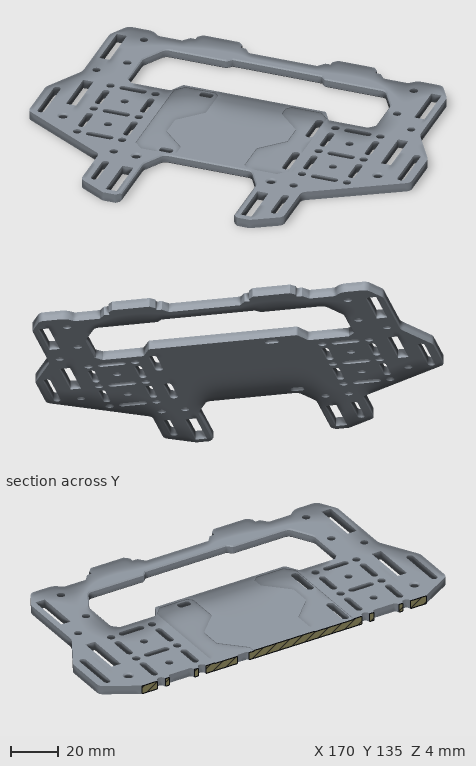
import cadquery as cq
import math

thickness = 4.0
half_width = 85.0
grid = 10.0
slope = math.tan(math.radians(60))

tab_top = 72.0
shoulder_top = 68.0
bar_top = 65.0
tab_inner, tab_outer = 2 * grid, 4 * grid
tab_corner = 2.0
tab_foot = 2.3
foot_run = 2.5
bar_outer = 55.7
arm_outer = 75.0
arm_top = 59.3
arm_bottom = 27.0
side_bottom = -11.1
leg_outer, leg_inner = 45.0, 25.0
leg_corner = -55.9
leg_bottom = -63.0
leg_inner_top = -34.6
leg_corner_cut = 2.0

nick_radius = 1.0
foot_radius = 2.0
corner_radius = 3.0
bend_radius = 4.0
sweep_radius = 5.0
shoulder_radius = 5.5

plate_front, plate_back = 31.0, -25.0
plate_mid = (plate_front + plate_back) / 2
plate_corner = 31.7
window_front = 56.0
window_step_front = 58.0
window_step_inner, window_step_outer = 19.8, 21.8
window_half_width = 55.0
window_side_top = 45.5
window_back = 25.0
window_corner_cut = 2.4
plate_foot = plate_corner + (plate_front - window_back) / slope
edge_chamfer = 0.5

hole_diameter = 3.5
center_hole_diameter = 3.4
countersink_diameter = 4.7
countersink_angle = 90
along_x, along_y = 0, 90
slot_width = 3.0
grid_slot_length = 12.0
side_slot_length = 22.0
side_slot_y = 0.3
leg_slot_length = 16.0
leg_slot_y = -46.5
strap_width, strap_length = 4.5, 20.8
leg_strap_width, leg_strap_length = 4.9, 20.3

board_slot_width = 3.4
left_slot_x, left_slot_pitch = -20.0, 48.0
left_slot_length, left_slot_radius = 5.8, 1.2
right_slot_x, right_slot_pitch = 31.8, 28.0
right_slot_length = 15.0

recess_depth = 0.3
recess_half_length = 26.75
recess_outer, recess_inner = 34.0, 15.0
recess_outer_cut, recess_inner_cut = 3.75, 2.0
notch_depth = 10.0
notch_half_floor = 5.0
notch_offset = 5.0


def mirrored_loop(half):
    """Close a chain of points with X > 0 through its mirror image across X = 0."""
    return half + [(-x, y) for x, y in reversed(half)]


def prism(points, bottom=0.0, height=thickness):
    return cq.Workplane("XY").workplane(offset=bottom).polyline(points).close().extrude(height)


def round_corners(body, corners):
    """Fillet the vertical edges at each (x, y, radius) and at its mirror image."""
    for x, y, radius in corners:
        for side in (1, -1):
            nearest = cq.selectors.NearestToPointSelector((side * x, y, thickness / 2))
            body = body.edges("|Z").edges(nearest).fillet(radius)
    return body


def make_outline():
    side_top = arm_bottom - (half_width - arm_outer) * slope
    arm_corner = arm_outer - (shoulder_top - arm_top) / slope
    elbow = side_bottom - (half_width - leg_outer) / slope
    leg_tip = leg_outer - (leg_corner - leg_bottom) * slope
    back_corner = leg_inner - (plate_back - leg_inner_top) / slope
    rise = shoulder_top - bar_top
    half = [
        (tab_inner - tab_foot - foot_run, bar_top),
        (tab_inner - tab_foot, shoulder_top),
        (tab_inner, shoulder_top),
        (tab_inner, tab_top - tab_corner),
        (tab_inner + tab_corner, tab_top),
        (tab_outer - tab_corner, tab_top),
        (tab_outer, tab_top - tab_corner),
        (tab_outer, shoulder_top),
        (tab_outer + tab_foot, shoulder_top),
        (tab_outer + tab_foot + foot_run, bar_top),
        (bar_outer, bar_top),
        (bar_outer + rise, shoulder_top),
        (arm_corner, shoulder_top),
        (arm_outer, arm_top),
        (arm_outer, arm_bottom),
        (half_width, side_top),
        (half_width, side_bottom),
        (leg_outer, elbow),
        (leg_outer, leg_corner),
        (leg_tip, leg_bottom),
        (leg_inner + leg_corner_cut, leg_bottom),
        (leg_inner, leg_bottom + leg_corner_cut),
        (leg_inner, leg_inner_top),
        (back_corner, plate_back),
    ]
    body = prism(mirrored_loop(half))
    return round_corners(body, [
        (bar_outer, bar_top, foot_radius),
        (bar_outer + rise, shoulder_top, shoulder_radius),
        (arm_corner, shoulder_top, corner_radius),
        (arm_outer, arm_top, bend_radius),
        (arm_outer, arm_bottom, sweep_radius),
        (half_width, side_top, bend_radius),
        (half_width, side_bottom, corner_radius),
        (leg_outer, elbow, corner_radius),
        (leg_outer, leg_corner, corner_radius),
        (leg_tip, leg_bottom, nick_radius),
        (leg_inner, leg_inner_top, sweep_radius),
        (back_corner, plate_back, corner_radius),
    ])


def make_window():
    top_corner = window_half_width - (window_front - window_side_top) / slope
    half = [
        (window_step_inner, window_step_front),
        (window_step_outer, window_front),
        (top_corner, window_front),
        (window_half_width, window_side_top),
        (window_half_width, window_back + window_corner_cut),
        (window_half_width - window_corner_cut, window_back),
        (plate_foot, window_back),
        (plate_corner, plate_front),
    ]
    window = prism(mirrored_loop(half))
    return round_corners(window, [
        (top_corner, window_front, corner_radius),
        (window_half_width, window_side_top, bend_radius),
        (plate_foot, window_back, nick_radius),
        (plate_corner, plate_front, nick_radius),
    ])


def box_selector(half_span, back, front):
    """Select what is centred within a box, symmetric in X, that spans the full thickness."""
    margin = 0.01
    return cq.selectors.BoxSelector(
        (-half_span - margin, back, -margin),
        (half_span + margin, front + margin, thickness + margin),
    )


def chamfer_inner_edges(body):
    """Chamfer top and bottom of the window's front and sides, and of the bay between the legs."""
    window_sides_back = window_back + window_corner_cut
    window = box_selector(window_half_width, window_sides_back, window_step_front)
    plate_edge = box_selector(plate_foot, window_back, plate_front)
    bay = box_selector(leg_inner, leg_bottom + leg_corner_cut, plate_back)
    rims = window + bay - plate_edge
    return body.edges("#Z").edges(rims).chamfer(edge_chamfer)


def slots(points, length, width, angle):
    return (
        cq.Workplane("XY").pushPoints(points).slot2D(length, width, angle).extrude(thickness)
    )


def rectangles(points, width, length):
    return cq.Workplane("XY").pushPoints(points).rect(width, length).extrude(thickness)


def both_sides(points):
    return [(side * x, y) for x, y in points for side in (1, -1)]


def cut_round_holes(body):
    grid_holes = [(x * grid, y * grid) for x in (4, 6) for y in (2, 0, -2)]
    arm_holes = [(6 * grid, 6 * grid), (6 * grid, 4 * grid), (4 * grid, -3 * grid)]
    small_holes = [(5 * grid, grid), (5 * grid, -grid), (7 * grid, 3 * grid)]
    sunk_holes = [(7 * grid, -grid), (3 * grid, -3 * grid)]
    body = body.faces(">Z").workplane(origin=(0, 0, thickness))
    body = body.pushPoints(both_sides(grid_holes + arm_holes)).hole(hole_diameter)
    body = body.faces(">Z").workplane(origin=(0, 0, thickness))
    body = body.pushPoints(both_sides(small_holes)).hole(center_hole_diameter)
    body = body.faces(">Z").workplane(origin=(0, 0, thickness))
    return body.pushPoints(both_sides(sunk_holes)).cskHole(
        center_hole_diameter, countersink_diameter, countersink_angle
    )


def cut_slots(body):
    upright = [(x * grid, y * grid) for x in (4, 6) for y in (1, -1)]
    level = [(5 * grid, y * grid) for y in (2, 0, -2)]
    straps = [(7 * grid, 5 * grid), (7 * grid, grid)]
    leg_straps = [(3 * grid, -5 * grid)]
    body = body.cut(slots(both_sides(upright), grid_slot_length, slot_width, along_y))
    body = body.cut(slots(both_sides(level), grid_slot_length, slot_width, along_x))
    body = body.cut(slots(both_sides([(8 * grid, side_slot_y)]), side_slot_length, slot_width, along_y))
    body = body.cut(slots(both_sides([(4 * grid, leg_slot_y)]), leg_slot_length, slot_width, along_y))
    body = body.cut(rectangles(both_sides(straps), strap_width, strap_length))
    return body.cut(rectangles(both_sides(leg_straps), leg_strap_width, leg_strap_length))


def cut_board_slots(body):
    left = [(left_slot_x, plate_mid + end * left_slot_pitch / 2) for end in (1, -1)]
    right = [(right_slot_x, plate_mid + end * right_slot_pitch / 2) for end in (1, -1)]
    rounded = rectangles(left, left_slot_length, board_slot_width)
    rounded = rounded.edges("|Z").fillet(left_slot_radius)
    body = body.cut(rounded)
    return body.cut(slots(right, right_slot_length, board_slot_width, along_y))


def make_recess(side):
    """Shallow pocket at one side (+1 or -1) of the board plate, notched on its inner edge."""
    front = plate_mid + recess_half_length
    back = plate_mid - recess_half_length
    notch_mid = plate_mid + side * notch_offset
    half_mouth = notch_half_floor + notch_depth
    points = [
        (recess_inner + recess_inner_cut, front),
        (recess_outer - recess_outer_cut, front),
        (recess_outer, front - recess_outer_cut),
        (recess_outer, back + recess_outer_cut),
        (recess_outer - recess_outer_cut, back),
        (recess_inner + recess_inner_cut, back),
        (recess_inner, back + recess_inner_cut),
        (recess_inner, notch_mid - half_mouth),
        (recess_inner + notch_depth, notch_mid - notch_half_floor),
        (recess_inner + notch_depth, notch_mid + notch_half_floor),
        (recess_inner, notch_mid + half_mouth),
        (recess_inner, front - recess_inner_cut),
    ]
    floor = thickness - recess_depth
    return prism([(side * x, y) for x, y in points], floor, recess_depth)


result = make_outline().cut(make_window())
result = chamfer_inner_edges(result)
result = cut_round_holes(result)
result = cut_slots(result)
result = cut_board_slots(result)
for side in (1, -1):
    result = result.cut(make_recess(side))